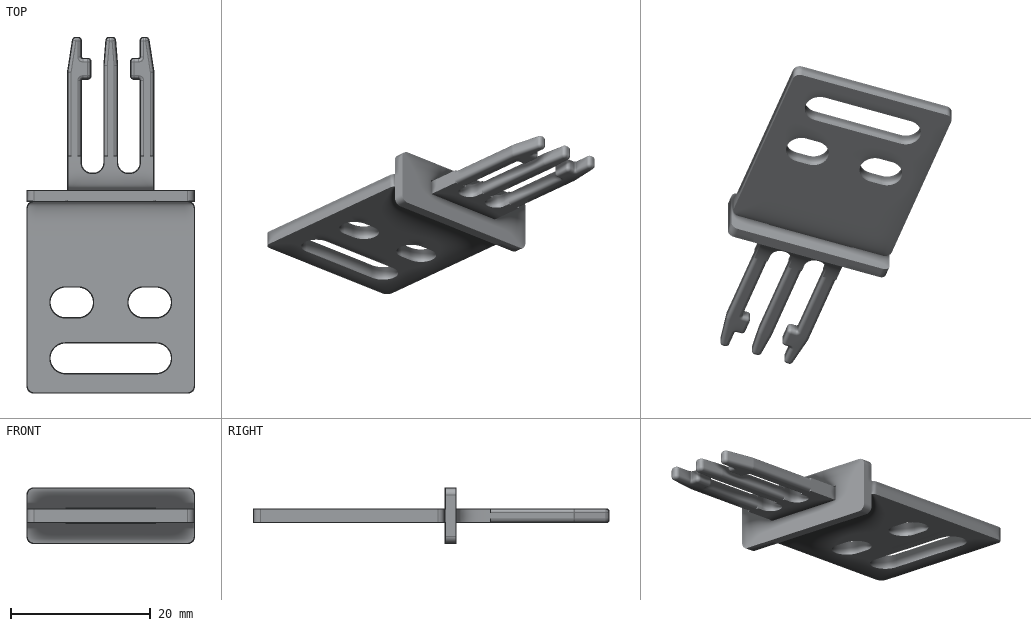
import cadquery as cq

TOTAL_LENGTH = 51.0
WIDTH = 24.0
THICKNESS = 2.0
CORNER_RADIUS = 1.0

PLATE_LENGTH = 27.5
SLOT_WIDTH = 4.4
LONG_SLOT_LENGTH = 17.4
SHORT_SLOT_LENGTH = 6.2
LONG_SLOT_Y = 5.0
SHORT_SLOT_Y = 13.0
SHORT_SLOT_X = (LONG_SLOT_LENGTH - SHORT_SLOT_LENGTH) / 2

COLLAR_DEPTH = 1.6
COLLAR_HEIGHT = 8.0
SIDE_CLEARANCE = 0.2
FACE_CLEARANCE = 0.1

PRONG_WIDTH = 2.0
PRONG_GAP = 3.2
TANG_WIDTH = 3 * PRONG_WIDTH + 2 * PRONG_GAP
GAP_REACH = 19.5
GAP_ROOT_RADIUS = 1.5
ROUNDED_REACH = 17.0
EDGE_RADIUS = 0.5
ROUNDED_START = TOTAL_LENGTH - ROUNDED_REACH

MIDDLE_TIP_WIDTH = 1.35
MIDDLE_TAPER_REACH = 4.05

OUTER_TIP_WIDTH = 1.2
OUTER_TAPER_REACH = 5.0
BARB_FRONT_REACH = 3.0
BARB_BACK_REACH = 6.0
BARB_HEIGHT = 1.4
BARB_ROOT_RADIUS = 0.2


def mid_plane(y=0.0):
    """Sketch plane at half thickness, with its origin at the given Y."""
    return cq.Workplane("XY", origin=(0, y, 0))


def slot_cutter(x, y, length):
    return mid_plane(y).center(x, 0).slot2D(length, SLOT_WIDTH).extrude(THICKNESS, both=True)


def make_plate():
    plate = (
        mid_plane(PLATE_LENGTH / 2)
        .rect(WIDTH, PLATE_LENGTH)
        .extrude(THICKNESS / 2, both=True)
        .edges("|Z")
        .fillet(CORNER_RADIUS)
    )
    plate = plate.cut(slot_cutter(0, LONG_SLOT_Y, LONG_SLOT_LENGTH))
    for side in (-1, 1):
        plate = plate.cut(slot_cutter(side * SHORT_SLOT_X, SHORT_SLOT_Y, SHORT_SLOT_LENGTH))
    return plate


def make_tang():
    """Flat tang from the plate to where the prong edges become rounded, with the gaps' round roots."""
    length = ROUNDED_START - PLATE_LENGTH
    tang = (
        mid_plane(PLATE_LENGTH + length / 2)
        .rect(TANG_WIDTH, length)
        .extrude(THICKNESS / 2, both=True)
    )
    for side in (-1, 1):
        gap = (
            mid_plane(TOTAL_LENGTH - GAP_REACH / 2)
            .center(side * (PRONG_WIDTH + PRONG_GAP) / 2, 0)
            .rect(PRONG_GAP, GAP_REACH)
            .extrude(THICKNESS, both=True)
            .edges("|Z and <Y")
            .fillet(GAP_ROOT_RADIUS)
        )
        tang = tang.cut(gap)
    return tang


def round_prong(prong, concave_edges=()):
    """Round every edge of a prong except those of its base face and any concave ones."""
    kept_sharp = prong.faces("<Y").edges().vals() + list(concave_edges)
    rounded = [
        edge for edge in prong.edges().vals()
        if not any(edge.isSame(sharp) for sharp in kept_sharp)
    ]
    return prong.newObject(rounded).fillet(EDGE_RADIUS)


def make_middle_prong():
    half_width = PRONG_WIDTH / 2
    half_tip = MIDDLE_TIP_WIDTH / 2
    taper_start = TOTAL_LENGTH - MIDDLE_TAPER_REACH
    prong = (
        mid_plane()
        .polyline([
            (-half_width, ROUNDED_START),
            (half_width, ROUNDED_START),
            (half_width, taper_start),
            (half_tip, TOTAL_LENGTH),
            (-half_tip, TOTAL_LENGTH),
            (-half_width, taper_start),
        ])
        .close()
        .extrude(THICKNESS / 2, both=True)
    )
    return round_prong(prong)


def make_right_prong():
    """Outer prong on the +X side, with its barb pointing toward the middle prong."""
    outer_x = TANG_WIDTH / 2
    inner_x = outer_x - PRONG_WIDTH
    barb_x = inner_x - BARB_HEIGHT
    barb_back = TOTAL_LENGTH - BARB_BACK_REACH
    barb_front = TOTAL_LENGTH - BARB_FRONT_REACH
    prong = (
        mid_plane()
        .polyline([
            (inner_x, ROUNDED_START),
            (outer_x, ROUNDED_START),
            (outer_x, TOTAL_LENGTH - OUTER_TAPER_REACH),
            (inner_x + OUTER_TIP_WIDTH, TOTAL_LENGTH),
            (inner_x, TOTAL_LENGTH),
            (inner_x, barb_front),
            (barb_x, barb_front),
            (barb_x, barb_back),
            (inner_x, barb_back),
        ])
        .close()
        .extrude(THICKNESS / 2, both=True)
    )
    for y in (barb_back, barb_front):
        corner = cq.selectors.NearestToPointSelector((inner_x, y, 0))
        prong = prong.edges("|Z").edges(corner).fillet(BARB_ROOT_RADIUS)
    concave_edges = [
        edge for face in prong.faces("%CYLINDER").vals() for edge in face.Edges()
        if edge.geomType() == "LINE"
    ]
    return round_prong(prong, concave_edges)


def make_key():
    right_prong = make_right_prong()
    left_prong = right_prong.mirror("YZ")
    return make_plate().union(make_tang()).union(make_middle_prong()).union(right_prong).union(left_prong)


def make_collar():
    """Rounded flange against the plate's inner end, with a clearance opening for the tang."""
    collar = (
        cq.Workplane("XY")
        .box(WIDTH, COLLAR_DEPTH, COLLAR_HEIGHT)
        .edges("|Y")
        .fillet(CORNER_RADIUS)
    )
    opening = cq.Workplane("XY").box(
        TANG_WIDTH + 2 * SIDE_CLEARANCE,
        COLLAR_DEPTH,
        THICKNESS + 2 * FACE_CLEARANCE,
    )
    return collar.cut(opening).translate((0, PLATE_LENGTH + COLLAR_DEPTH / 2, 0))


key = make_key()
collar = make_collar()

result = cq.Compound.makeCompound([key.val(), collar.val()])